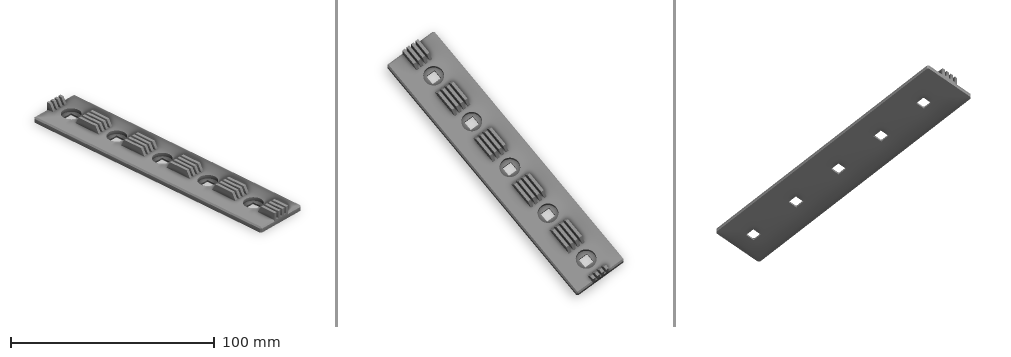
import cadquery as cq

PIXEL_PITCH = 30.5
PIXEL_COUNT = 5
LENGTH = PIXEL_PITCH * PIXEL_COUNT
WIDTH = 29.5
HEIGHT = 7.0
EDGE_CHAMFER = 0.8

FIRST_POCKET_X = 11.7
POCKET_DIAMETER = 10.2
POCKET_DEPTH = 2.0
POCKET_FLOOR = 1.0
PLATE_THICKNESS = POCKET_FLOOR + POCKET_DEPTH
WINDOW_SIDE = 5.2

RIB_COUNT = 4
RIB_PITCH = 2.7
RIB_THICKNESS = 1.5
RIB_BASE_LENGTH = 15.7
RIB_TOP_LENGTH = 11.1
COMB_WIDTH = RIB_PITCH * (RIB_COUNT - 1) + RIB_THICKNESS
FIRST_COMB_X = FIRST_POCKET_X - PIXEL_PITCH / 2

MID_Y = WIDTH / 2


def make_plate():
    """Plate with bevelled corners and top edges, left square under the end combs."""
    blank = cq.Workplane("XY").box(LENGTH, WIDTH, PLATE_THICKNESS, centered=False)
    bevelled = blank.edges("|Z or >Z").chamfer(EDGE_CHAMFER)
    square_strip = (
        cq.Workplane("XY")
        .box(LENGTH, COMB_WIDTH, PLATE_THICKNESS, centered=False)
        .translate((0, MID_Y - COMB_WIDTH / 2, 0))
    )
    return bevelled.union(square_strip)


def make_comb(center_x):
    """Row of parallel ribs, trimmed where they would overhang the plate ends."""
    half_base = RIB_BASE_LENGTH / 2
    half_top = RIB_TOP_LENGTH / 2
    profile = [
        (center_x - half_base, PLATE_THICKNESS),
        (center_x + half_base, PLATE_THICKNESS),
        (center_x + half_top, HEIGHT),
        (center_x - half_top, HEIGHT),
    ]
    rib = cq.Workplane("XZ").polyline(profile).close().extrude(-RIB_THICKNESS)
    comb = cq.Workplane("XY")
    for row in range(RIB_COUNT):
        rib_y = MID_Y - COMB_WIDTH / 2 + row * RIB_PITCH
        comb = comb.add(rib.translate((0, rib_y, 0)))
    envelope = cq.Workplane("XY").box(LENGTH, WIDTH, HEIGHT, centered=False)
    return envelope.intersect(comb.combine())


def make_pocket(center_x):
    """Round recess in the top face with a square window through its floor."""
    recess = (
        cq.Workplane("XY")
        .workplane(offset=POCKET_FLOOR)
        .center(center_x, MID_Y)
        .circle(POCKET_DIAMETER / 2)
        .extrude(POCKET_DEPTH)
    )
    window = (
        cq.Workplane("XY")
        .center(center_x, MID_Y)
        .rect(WINDOW_SIDE, WINDOW_SIDE)
        .extrude(PLATE_THICKNESS)
    )
    return recess.union(window)


result = make_plate()
for index in range(PIXEL_COUNT + 1):
    result = result.union(make_comb(FIRST_COMB_X + index * PIXEL_PITCH))
for index in range(PIXEL_COUNT):
    result = result.cut(make_pocket(FIRST_POCKET_X + index * PIXEL_PITCH))